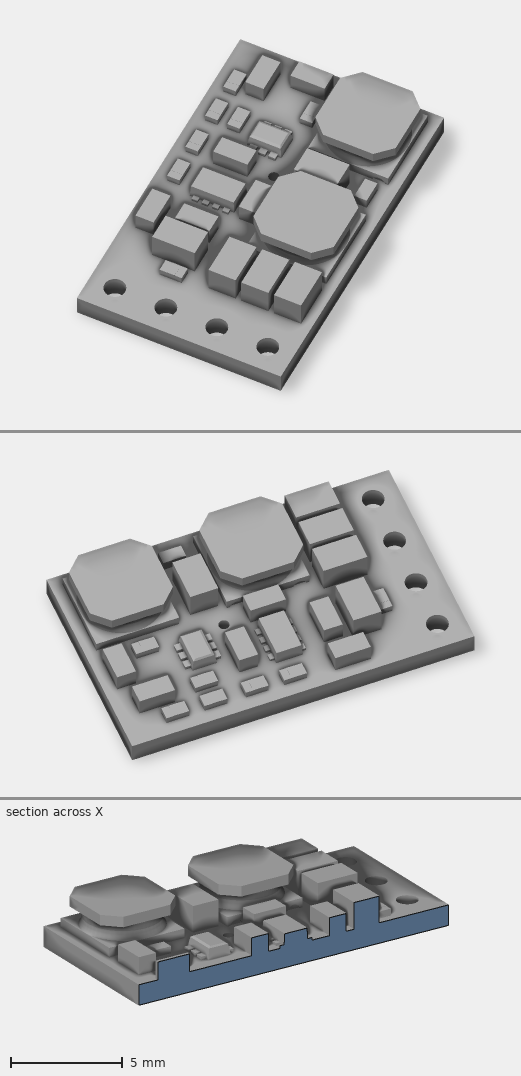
import cadquery as cq


BOARD_X = 10.16
BOARD_Y = 16.51
BOARD_THICKNESS = 1.02
OVERALL_HEIGHT = 2.82

PIN_PITCH = 2.54
PIN_COUNT = 4
PIN_HOLE_DIAMETER = 1.02
PIN_EDGE_DISTANCE = PIN_PITCH / 2
VIA_DIAMETER = 0.5
VIA_POSITION = (-0.26, 1.87)

INDUCTOR_SIDE = 4.0
INDUCTOR_HEIGHT = OVERALL_HEIGHT - BOARD_THICKNESS
INDUCTOR_BASE_THICKNESS = 0.46
INDUCTOR_CAP_THICKNESS = 0.51
INDUCTOR_CAP_CHAMFER = 0.75
NECK_END_RADIUS = 1.98
NECK_WAIST_RADIUS = 1.83
ARCH_RADIUS = 0.32
ARCH_TOP = 0.24
ARCH_INSET = 0.47
ARCH_DEPTH = 0.07
INDUCTORS = [(2.54, 5.7, 0), (2.56, -0.6, -90)]

CHIP_0805 = (2.12, 1.35, 1.3, 0.5)
CHIP_0603 = (1.71, 0.91, 0.87, 0.3)
CHIP_0402 = (1.1, 0.62, 0.5, 0.23)
RESISTOR_0402 = (1.1, 0.62, 0.35, 0.35)
RESISTOR_FILM_THICKNESS = 0.01

ALONG_X = 0
ALONG_Y = 90
RESISTOR_COLUMN_X = -4.13
OUTPUT_CAPACITOR_Y = -4.08

CHIPS = [
    (CHIP_0805, 0.62, OUTPUT_CAPACITOR_Y, ALONG_Y),
    (CHIP_0805, 2.25, OUTPUT_CAPACITOR_Y, ALONG_Y),
    (CHIP_0805, 3.88, OUTPUT_CAPACITOR_Y, ALONG_Y),
    (CHIP_0805, -2.09, -3.88, ALONG_X),
    (CHIP_0805, 1.88, 2.38, ALONG_X),
    (CHIP_0603, -0.99, 7.21, ALONG_X),
    (CHIP_0603, -3.03, 6.39, ALONG_Y),
    (CHIP_0603, -2.16, 1.79, ALONG_X),
    (CHIP_0603, -2.01, -2.35, ALONG_X),
    (CHIP_0603, -0.14, -0.13, ALONG_Y),
    (CHIP_0603, -4.06, -2.63, ALONG_Y),
    (CHIP_0402, 3.94, 2.66, ALONG_Y),
]

RESISTORS = [
    (RESISTOR_COLUMN_X, 5.79, ALONG_Y),
    (RESISTOR_COLUMN_X, 3.95, ALONG_Y),
    (RESISTOR_COLUMN_X, 1.96, ALONG_Y),
    (RESISTOR_COLUMN_X, 0.11, ALONG_Y),
    (-3.03, 3.95, ALONG_Y),
    (-0.26, 5.67, ALONG_Y),
    (-1.81, -5.1, ALONG_X),
]

LEAD_PITCH = 0.508
LEAD_SPAN = 1.73

IC6_POSITION = (-1.28, 3.56)
IC6_LEADS_PER_SIDE = 3
IC6_LEAD_WIDTH = 0.35
IC6_LEAD_HEIGHT = 0.17
IC6_FOOT = (1.72, 1.2)
IC6_SHOULDER = (1.55, 1.01)
IC6_TOP = (1.4, 0.78)
IC6_SHOULDER_HEIGHT = 0.52
IC6_HEIGHT = 0.59

IC8_POSITION = (-2.04, -0.12)
IC8_LEADS_PER_SIDE = 4
IC8_LEAD_WIDTH = 0.3
IC8_LEAD_HEIGHT = 0.13
IC8_FOOT = (2.22, 1.3)
IC8_TOP = (2.12, 1.21)
IC8_HEIGHT = 0.65


def block(length, width, height):
    """Box centred in X and Y, standing on Z = 0."""
    return cq.Workplane("XY").box(length, width, height, centered=(True, True, False))


def tapered_block(bottom, top, height):
    """Frustum between two centred rectangles, standing on Z = 0."""
    return (
        cq.Workplane("XY")
        .rect(*bottom)
        .workplane(offset=height)
        .rect(*top)
        .loft(ruled=True)
    )


def make_board():
    pin_y = PIN_EDGE_DISTANCE - BOARD_Y / 2
    first_pin_x = -PIN_PITCH * (PIN_COUNT - 1) / 2
    pins = [(first_pin_x + i * PIN_PITCH, pin_y) for i in range(PIN_COUNT)]
    board = block(BOARD_X, BOARD_Y, BOARD_THICKNESS)
    board = board.faces(">Z").workplane(origin=(0, 0, 0)).pushPoints(pins).hole(PIN_HOLE_DIAMETER)
    return board.faces(">Z").workplane(origin=(0, 0, 0)).pushPoints([VIA_POSITION]).hole(VIA_DIAMETER)


def make_inductor():
    """Square base with two shallow arches on its -Y side, waisted neck and chamfered cap."""
    neck_top = INDUCTOR_HEIGHT - INDUCTOR_CAP_THICKNESS
    waist_z = (INDUCTOR_BASE_THICKNESS + neck_top) / 2
    quarter_height = (neck_top - INDUCTOR_BASE_THICKNESS) / 4
    flare_radius = NECK_WAIST_RADIUS + (NECK_END_RADIUS - NECK_WAIST_RADIUS) / 4

    arch_x = INDUCTOR_SIDE / 2 - ARCH_INSET
    arch_z = ARCH_TOP - ARCH_RADIUS
    arches = (
        cq.Workplane("XZ", origin=(0, -INDUCTOR_SIDE / 2, 0))
        .pushPoints([(-arch_x, arch_z), (arch_x, arch_z)])
        .circle(ARCH_RADIUS)
        .extrude(-ARCH_DEPTH)
    )
    base = block(INDUCTOR_SIDE, INDUCTOR_SIDE, INDUCTOR_BASE_THICKNESS).cut(arches)

    neck = (
        cq.Workplane("YZ")
        .moveTo(0, INDUCTOR_BASE_THICKNESS)
        .lineTo(-NECK_END_RADIUS, INDUCTOR_BASE_THICKNESS)
        .threePointArc((-flare_radius, waist_z - quarter_height), (-NECK_WAIST_RADIUS, waist_z))
        .threePointArc((-flare_radius, waist_z + quarter_height), (-NECK_END_RADIUS, neck_top))
        .lineTo(0, neck_top)
        .close()
        .revolve(360, (0, 0, 0), (0, 1, 0))
    )

    cap = block(INDUCTOR_SIDE, INDUCTOR_SIDE, INDUCTOR_CAP_THICKNESS)
    cap = cap.edges("|Z").chamfer(INDUCTOR_CAP_CHAMFER).translate((0, 0, neck_top))
    return base.union(neck, clean=False).union(cap, clean=False)


def make_chip(length, width, height, terminal_length):
    """Chip along X; the terminals stay separate faces, flush with the body."""
    terminal_x = (length - terminal_length) / 2
    terminal = block(terminal_length, width, height)
    chip = block(length - 2 * terminal_length, width, height)
    for x in (-terminal_x, terminal_x):
        chip = chip.union(terminal.translate((x, 0, 0)), clean=False)
    return chip


def make_resistor(length, width, height, terminal_length):
    """Chip along X with a thin film between the terminals on its top face."""
    film_z = height - RESISTOR_FILM_THICKNESS
    film = block(length - 2 * terminal_length, width, RESISTOR_FILM_THICKNESS)
    return block(length, width, film_z).union(film.translate((0, 0, film_z)))


def make_leads(count, lead_width, lead_height):
    """Straight leads crossing under the package, showing on both its Y sides."""
    first_x = -LEAD_PITCH * (count - 1) / 2
    positions = [(first_x + i * LEAD_PITCH, 0) for i in range(count)]
    return cq.Workplane("XY").pushPoints(positions).rect(lead_width, LEAD_SPAN).extrude(lead_height)


def make_ic6():
    """Six-lead package: tapered body with a flatter bevel around its top face."""
    body = tapered_block(IC6_FOOT, IC6_SHOULDER, IC6_SHOULDER_HEIGHT)
    bevel = tapered_block(IC6_SHOULDER, IC6_TOP, IC6_HEIGHT - IC6_SHOULDER_HEIGHT)
    body = body.union(bevel.translate((0, 0, IC6_SHOULDER_HEIGHT)))
    return body.union(make_leads(IC6_LEADS_PER_SIDE, IC6_LEAD_WIDTH, IC6_LEAD_HEIGHT))


def make_ic8():
    """Eight-lead package with a plain tapered body."""
    body = tapered_block(IC8_FOOT, IC8_TOP, IC8_HEIGHT)
    return body.union(make_leads(IC8_LEADS_PER_SIDE, IC8_LEAD_WIDTH, IC8_LEAD_HEIGHT))


def place(component, x, y, rotation=0):
    """Turn a component about Z and set it on the board."""
    return component.rotate((0, 0, 0), (0, 0, 1), rotation).translate((x, y, BOARD_THICKNESS))


components = [place(make_ic6(), *IC6_POSITION), place(make_ic8(), *IC8_POSITION)]
for x, y, rotation in INDUCTORS:
    components.append(place(make_inductor(), x, y, rotation))
for size, x, y, rotation in CHIPS:
    components.append(place(make_chip(*size), x, y, rotation))
for x, y, rotation in RESISTORS:
    components.append(place(make_resistor(*RESISTOR_0402), x, y, rotation))

result = make_board()
for component in components:
    result = result.union(component, clean=False)